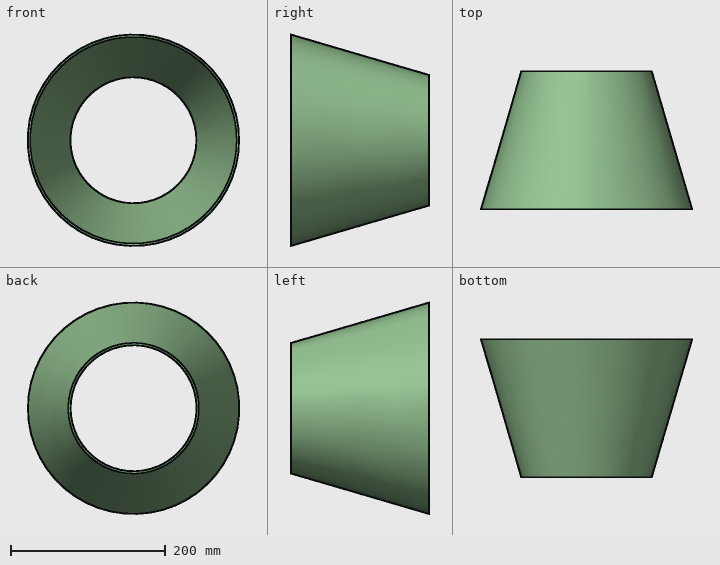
import cadquery as cq

large_diameter = 273.0
small_diameter = 168.7
length = 178.0
wall = 3.3

large_radius = large_diameter / 2
small_radius = small_diameter / 2

wall_section = (
    cq.Workplane("XY")
    .moveTo(large_radius - wall, 0)
    .lineTo(large_radius, 0)
    .lineTo(small_radius, length)
    .lineTo(small_radius - wall, length)
    .close()
)

result = wall_section.revolve(360, (0, 0, 0), (0, 1, 0))